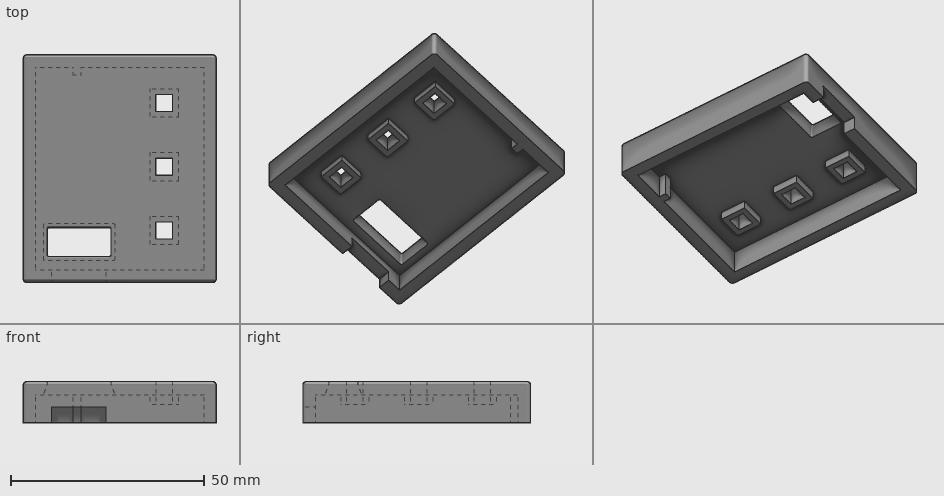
import cadquery as cq
import math

LENGTH_X = 50.0
LENGTH_Y = 59.0
HEIGHT = 10.75
EDGE_RADIUS = 1.0
WALL = 3.25
ROOF = 3.5

WINDOW_X = 16.0
WINDOW_Y = 7.0
WINDOW_CENTER = (-10.5, -19.0)
WINDOW_CORNER_RADIUS = 0.5
WINDOW_FLARE_ANGLE = 20.0
WINDOW_RIM_RADIUS = 0.5

BUTTON_SIZE = 4.3
BUTTON_PITCH = 16.5
BUTTON_COUNT = 3
BUTTON_X = 11.5
BUTTON_MIDDLE_Y = 0.5
COLLAR_WALL = 1.5
COLLAR_DEPTH = 2.5

NOTCH_WIDTH = 14.0
NOTCH_HEIGHT = 4.1
NOTCH_CENTER_X = -10.6

RIB_WIDTH = 2.1
RIB_DEPTH = 2.0
RIB_CENTER_X = -11.05

CAVITY_X = LENGTH_X - 2 * WALL
CAVITY_Y = LENGTH_Y - 2 * WALL
CAVITY_HEIGHT = HEIGHT - ROOF


def block(size_x, size_y, bottom, top, center=(0, 0)):
    """Upright rectangular block between two heights."""
    return (
        cq.Workplane("XY", origin=(center[0], center[1], bottom))
        .rect(size_x, size_y)
        .extrude(top - bottom)
    )


def make_shell():
    """Rounded box hollowed from below."""
    outside = block(LENGTH_X, LENGTH_Y, 0, HEIGHT).edges("|Z or >Z").fillet(EDGE_RADIUS)
    return outside.cut(block(CAVITY_X, CAVITY_Y, 0, CAVITY_HEIGHT))


def cut_window(body):
    """Rounded rectangular opening that flares toward the inside, with a rounded upper rim."""
    flare = ROOF * math.tan(math.radians(WINDOW_FLARE_ANGLE))
    opening = (
        cq.Workplane("XY", origin=(WINDOW_CENTER[0], WINDOW_CENTER[1], CAVITY_HEIGHT))
        .rect(WINDOW_X + 2 * flare, WINDOW_Y + 2 * flare)
        .extrude(ROOF, taper=WINDOW_FLARE_ANGLE)
    )
    opening = opening.edges("not #Z").fillet(WINDOW_CORNER_RADIUS)
    rim_region = cq.selectors.BoxSelector(
        (WINDOW_CENTER[0] - WINDOW_X, WINDOW_CENTER[1] - WINDOW_Y, HEIGHT - WINDOW_RIM_RADIUS),
        (WINDOW_CENTER[0] + WINDOW_X, WINDOW_CENTER[1] + WINDOW_Y, HEIGHT + WINDOW_RIM_RADIUS),
    )
    return body.cut(opening).faces(">Z").edges(rim_region).fillet(WINDOW_RIM_RADIUS)


def add_buttons(body):
    """Row of square holes running down through collars below the roof."""
    collar_size = BUTTON_SIZE + 2 * COLLAR_WALL
    collar_bottom = CAVITY_HEIGHT - COLLAR_DEPTH
    for index in range(BUTTON_COUNT):
        offset = index - (BUTTON_COUNT - 1) / 2
        center = (BUTTON_X, BUTTON_MIDDLE_Y + offset * BUTTON_PITCH)
        body = body.union(block(collar_size, collar_size, collar_bottom, CAVITY_HEIGHT, center))
        body = body.cut(block(BUTTON_SIZE, BUTTON_SIZE, collar_bottom, HEIGHT, center))
    return body


def cut_notch(body):
    """Notch through the front wall, open at the base."""
    wall_center = (NOTCH_CENTER_X, (WALL - LENGTH_Y) / 2)
    return body.cut(block(NOTCH_WIDTH, WALL, 0, NOTCH_HEIGHT, wall_center))


def add_rib(body):
    """Rib on the back wall, running from the base to the roof."""
    rib_center = (RIB_CENTER_X, (CAVITY_Y - RIB_DEPTH) / 2)
    return body.union(block(RIB_WIDTH, RIB_DEPTH, 0, CAVITY_HEIGHT, rib_center))


result = make_shell()
result = cut_window(result)
result = add_buttons(result)
result = cut_notch(result)
result = add_rib(result)